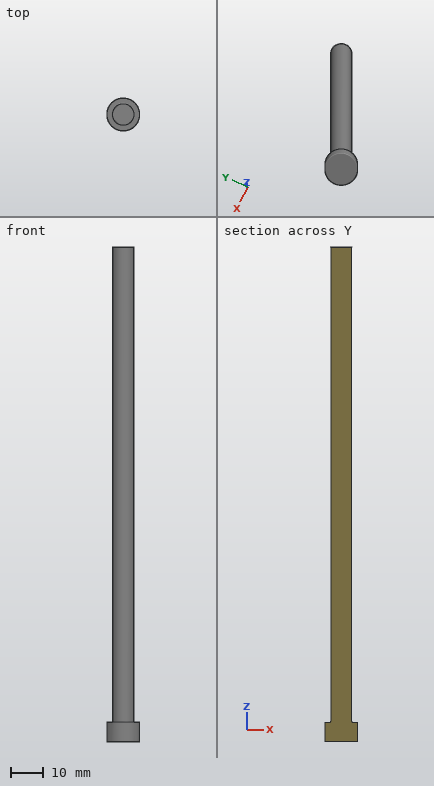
import cadquery as cq

overall_length = 150.0
shank_diameter = 6.5
head_diameter = 10.0
head_height = 6.0
head_rim_radius = 0.2
neck_radius = 0.3


def make_head():
    """Cylindrical head resting on the XY plane."""
    return cq.Workplane("XY").circle(head_diameter / 2).extrude(head_height)


def make_shank():
    """Plain cylindrical shank from the top of the head to the free end."""
    shank_length = overall_length - head_height
    head_top = cq.Workplane("XY").workplane(offset=head_height)
    return head_top.circle(shank_diameter / 2).extrude(shank_length)


def round_neck(pin):
    """Blend the inside corner where the shank meets the head."""
    shank_edges = pin.edges("%CIRCLE").edges(cq.selectors.RadiusNthSelector(0))
    return shank_edges.edges("<Z").fillet(neck_radius)


def round_head_rims(pin):
    """Round the top and bottom rims of the head, the largest circles of the pin."""
    head_rims = pin.edges("%CIRCLE").edges(cq.selectors.RadiusNthSelector(-1))
    return head_rims.fillet(head_rim_radius)


pin_blank = make_head().union(make_shank())
result = round_head_rims(round_neck(pin_blank))